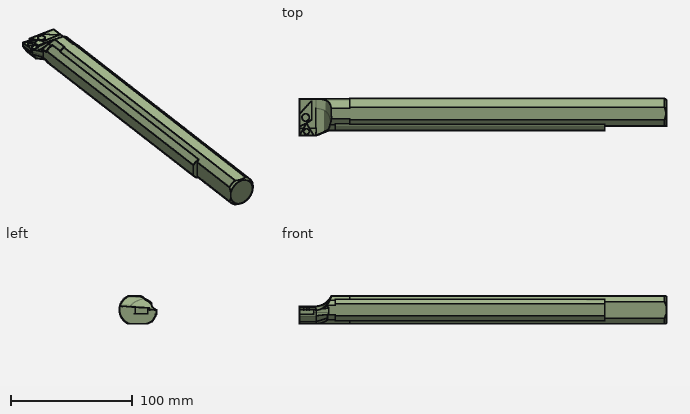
import cadquery as cq
import math

LENGTH = 301.7
SHANK_RADIUS = 25.0 / 2
HALF_HEIGHT = 11.5
GRIP_FLAT_Y = -10.5
END_CHAMFER = 1.8

NECK_RADIUS = 24.5 / 2
NECK_END = 41.3

BOSS_CENTER_Y = -6.5
BOSS_RADIUS = 9.0
BOSS_NECK_RADIUS = 8.5
BOSS_NECK_END = 29.3
BOSS_FLAT_Y = -14.2
BOSS_END = 251.0

OVERALL_WIDTH = 30.8
HEAD_TIP_Y = SHANK_RADIUS - OVERALL_WIDTH
HEAD_LENGTH = 14.0
TAPER_END = 24.0

FACE_LENGTH = 13.3
FACE_HEIGHT = 2.5
FACE_TILT = 3.3
SCOOP_RADIUS = 14.0
SCOOP_RUN = 12.7
GULLET_Y = 4.2
GULLET_TILT = 7.5
GULLET_RADIUS = 13.3
CUT_TOP = 18.0
CUT_WIDTH = 90.5

INSERT_SIDE = 11.8
INSERT_TOP = 0.0
INSERT_THICKNESS = 3.5
INSERT_HOLE_DIAMETER = 4.5
INSERT_APEX_Y = HEAD_TIP_Y + INSERT_SIDE * math.sqrt(3) / 2
INSERT_CENTER_Y = HEAD_TIP_Y + INSERT_SIDE / (2 * math.sqrt(3))
SEAT_EDGE_Y = -12.0

CLAMP_BOTTOM = -3.0
CLAMP_BACK_X = 10.3
CLAMP_HEEL_X = 9.7
CLAMP_HEEL_Y = 10.0
CLAMP_FRONT_Y = (-0.5, -11.0)
CLAMP_SHOULDER_Y = -5.0
SCREW_DIAMETER = 6.0
SCREW_X = 5.0
SCREW_Y = -3.3
SCREW_BOTTOM = -7.8


def rod(center_y, radius, x_start, x_end):
    """Round rod parallel to X."""
    plane = cq.Workplane("YZ", origin=(x_start, center_y, 0))
    return plane.circle(radius).extrude(x_end - x_start)


def block(x_range, y_range, z_range):
    """Box given by its lower and upper limits."""
    spans = [upper - lower for lower, upper in (x_range, y_range, z_range)]
    corner = (x_range[0], y_range[0], z_range[0])
    return cq.Workplane("XY").box(*spans, centered=False).translate(corner)


def make_shank():
    """Round shank with a thinner neck, an end chamfer and flats."""
    neck = rod(0, NECK_RADIUS, 0, NECK_END)
    grip = rod(0, SHANK_RADIUS, NECK_END, LENGTH).faces(">X").chamfer(END_CHAMFER)
    flats = block((0, LENGTH), (GRIP_FLAT_Y, SHANK_RADIUS), (-HALF_HEIGHT, HALF_HEIGHT))
    return neck.union(grip).intersect(flats)


def make_boss():
    """Rounded boss with a flat outer side."""
    neck = rod(BOSS_CENTER_Y, BOSS_NECK_RADIUS, 0, BOSS_NECK_END)
    run = rod(BOSS_CENTER_Y, BOSS_RADIUS, BOSS_NECK_END, BOSS_END)
    flat = block((0, BOSS_END), (BOSS_FLAT_Y, SHANK_RADIUS), (-HALF_HEIGHT, HALF_HEIGHT))
    return neck.union(run).intersect(flat)


def make_head():
    """Angular nose that reaches past the boss and tapers back into it."""
    nose_section = [
        (0, HALF_HEIGHT), (-10.3, 6.5), (-15.5, 1.8), (HEAD_TIP_Y, 0.3), (HEAD_TIP_Y, -2.0),
        (-17.5, -4.8), (-14.5, -9.7), (-10.3, -HALF_HEIGHT), (0, -HALF_HEIGHT),
    ]
    root_section = [
        (0, HALF_HEIGHT), (-10.3, 6.5), (-13.3, 4.8), (BOSS_FLAT_Y, 1.5), (BOSS_FLAT_Y, -2.0),
        (BOSS_FLAT_Y, -3.5), (-11.8, -6.3), (-7.5, -8.5), (0, -HALF_HEIGHT),
    ]
    nose = cq.Workplane("YZ").polyline(nose_section).close().extrude(HEAD_LENGTH)
    taper = (
        cq.Workplane("YZ", origin=(HEAD_LENGTH, 0, 0))
        .polyline(nose_section)
        .close()
        .workplane(offset=TAPER_END - HEAD_LENGTH)
        .polyline(root_section)
        .close()
        .loft(ruled=True)
    )
    return nose.union(taper)


def scoop_profile(radius):
    """Outline from the back of the face up the scoop arc and closed above the bar."""
    angle = math.asin(SCOOP_RUN / radius)
    center_z = FACE_HEIGHT + radius
    middle = (
        FACE_LENGTH + radius * math.sin(angle / 2),
        center_z - radius * math.cos(angle / 2),
    )
    end = (FACE_LENGTH + SCOOP_RUN, center_z - radius * math.cos(angle))
    rise = CUT_TOP - end[1]
    top_end = (end[0] + rise / math.tan(angle), CUT_TOP)
    start = cq.Workplane("XZ").moveTo(FACE_LENGTH, FACE_HEIGHT)
    return start.threePointArc(middle, end).lineTo(*top_end).lineTo(FACE_LENGTH, CUT_TOP)


def face_cut():
    """Removes the metal above the sloping top face and the main scoop."""
    cut = scoop_profile(SCOOP_RADIUS).lineTo(0, CUT_TOP).lineTo(0, FACE_HEIGHT).close()
    return cut.extrude(CUT_WIDTH / 2, both=True).rotate((0, 0, FACE_HEIGHT), (1, 0, FACE_HEIGHT), FACE_TILT)


def gullet_cut():
    """Steeper scoop that deepens the chip space towards the cutting edge."""
    height = FACE_HEIGHT + GULLET_Y * math.tan(math.radians(FACE_TILT))
    cut = scoop_profile(GULLET_RADIUS).close().extrude(CUT_WIDTH / 2, both=True)
    cut = cut.translate((0, 0, height - FACE_HEIGHT))
    return cut.rotate((0, GULLET_Y, height), (1, GULLET_Y, height), GULLET_TILT)


def insert_prism():
    corners = [(0, HEAD_TIP_Y), (INSERT_SIDE, HEAD_TIP_Y), (INSERT_SIDE / 2, INSERT_APEX_Y)]
    plane = cq.Workplane("XY", origin=(0, 0, INSERT_TOP - INSERT_THICKNESS))
    return plane.polyline(corners).close().extrude(INSERT_THICKNESS)


def insert_pocket():
    """Insert seat, open upwards, with a low land around the cutting side."""
    opening = insert_prism().union(insert_prism().translate((0, 0, INSERT_THICKNESS)))
    land = block((0, HEAD_LENGTH), (HEAD_TIP_Y, SEAT_EDGE_Y), (INSERT_TOP, HALF_HEIGHT))
    return opening.union(land)


def clamp_prism():
    outline = [
        (0, CLAMP_FRONT_Y[0]), (CLAMP_HEEL_X, CLAMP_HEEL_Y), (CLAMP_BACK_X, CLAMP_HEEL_Y),
        (CLAMP_BACK_X, CLAMP_SHOULDER_Y), (INSERT_SIDE / 2, INSERT_APEX_Y), (0, CLAMP_FRONT_Y[1]),
    ]
    plane = cq.Workplane("XY", origin=(0, 0, CLAMP_BOTTOM))
    return plane.polyline(outline).close().extrude(HALF_HEIGHT - CLAMP_BOTTOM)


def screw_cylinder():
    plane = cq.Workplane("XY", origin=(SCREW_X, SCREW_Y, SCREW_BOTTOM))
    return plane.circle(SCREW_DIAMETER / 2).extrude(HALF_HEIGHT - SCREW_BOTTOM)


def make_bar():
    bar = make_shank().union(make_boss()).union(make_head())
    bar = bar.cut(face_cut()).cut(gullet_cut())
    return bar.cut(insert_pocket()).cut(clamp_prism()).cut(screw_cylinder())


def make_insert():
    hole = (
        cq.Workplane("XY", origin=(INSERT_SIDE / 2, INSERT_CENTER_Y, INSERT_TOP - INSERT_THICKNESS))
        .circle(INSERT_HOLE_DIAMETER / 2)
        .extrude(INSERT_THICKNESS)
    )
    return insert_prism().cut(hole)


def make_clamp():
    """Clamp that finishes level with the sloping top face."""
    return clamp_prism().cut(face_cut()).cut(screw_cylinder())


def make_screw():
    """Clamp screw, its head level with the sloping top face."""
    return screw_cylinder().cut(face_cut())


bar = make_bar()
insert = make_insert()
clamp = make_clamp()
screw = make_screw()
result = cq.Compound.makeCompound([bar.val(), insert.val(), clamp.val(), screw.val()])